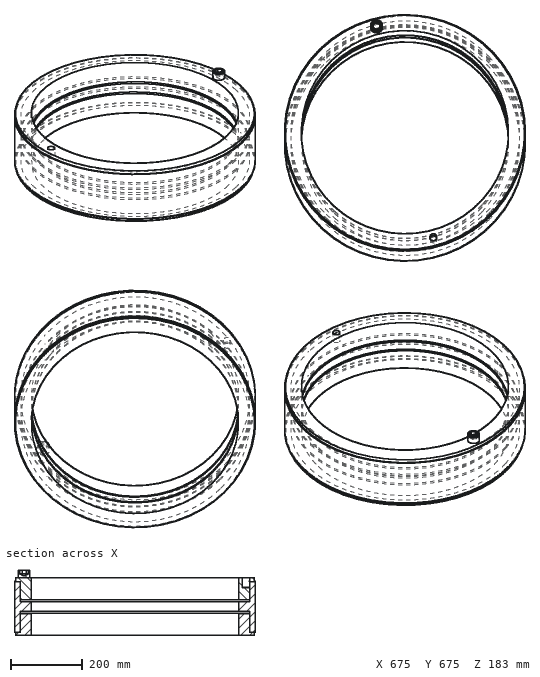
import cadquery as cq
import math

outer_diameter = 675.0
bore_diameter = 580.0
ring_height = 161.0
overall_height = 183.0

flange_diameter = 669.5
top_flange_height = 10.0
bottom_flange_height = 8.0

web_height = 27.0
web_gap = 5.5
sleeve_bore_diameter = 641.0

pitch_radius = 310.5
hole_diameter = 19.5
hole_depth = 27.0

head_diameter = 33.0
head_chamfer = 2.0
socket_corner_diameter = 22.0
socket_depth = 11.0
socket_cone_depth = 5.5

outer_radius = outer_diameter / 2
bore_radius = bore_diameter / 2
flange_radius = flange_diameter / 2
sleeve_bore_radius = sleeve_bore_diameter / 2
sleeve_bottom = bottom_flange_height
sleeve_top = ring_height - top_flange_height
web_bottom = (ring_height - web_height) / 2
web_top = web_bottom + web_height


def revolve_profile(points):
    """Revolve a closed profile of (radius, height) points about the Z axis."""
    return cq.Workplane("XZ").polyline(points).close().revolve(360, (0, 0), (0, 1))


def make_centre_ring():
    """Outer sleeve with a web in the middle of its height."""
    return revolve_profile([
        (outer_radius, sleeve_bottom),
        (outer_radius, sleeve_top),
        (sleeve_bore_radius, sleeve_top),
        (sleeve_bore_radius, web_top),
        (bore_radius, web_top),
        (bore_radius, web_bottom),
        (sleeve_bore_radius, web_bottom),
        (sleeve_bore_radius, sleeve_bottom),
    ])


def make_end_ring(flange_face, sleeve_face, web_face):
    """Ring that fills the sleeve bore, with a flange over the end of the sleeve."""
    return revolve_profile([
        (bore_radius, flange_face),
        (flange_radius, flange_face),
        (flange_radius, sleeve_face),
        (sleeve_bore_radius, sleeve_face),
        (sleeve_bore_radius, web_face),
        (bore_radius, web_face),
    ])


def make_top_ring():
    """Upper end ring with a blind hole in its top face."""
    ring = make_end_ring(ring_height, sleeve_top, web_top + web_gap)
    hole = (
        cq.Workplane("XY", origin=(0, -pitch_radius, ring_height))
        .circle(hole_diameter / 2)
        .extrude(-hole_depth)
    )
    return ring.cut(hole)


def make_screw_head():
    """Round screw head on the top face, with a hexagon socket that ends in a cone."""
    head_radius = head_diameter / 2
    head_height = overall_height - ring_height
    socket_floor = head_height - socket_depth
    head = revolve_profile([
        (0, 0),
        (head_radius, 0),
        (head_radius, head_height - head_chamfer),
        (head_radius - head_chamfer, head_height),
        (0, head_height),
    ])
    socket = (
        cq.Workplane("XY", origin=(0, 0, socket_floor))
        .transformed(rotate=(0, 0, 90))
        .polygon(6, socket_corner_diameter)
        .extrude(socket_depth)
    )
    cone_radius = socket_corner_diameter / 2 * math.cos(math.pi / 6)
    cone = revolve_profile([
        (0, socket_floor),
        (cone_radius, socket_floor),
        (0, socket_floor - socket_cone_depth),
    ])
    return head.cut(socket).cut(cone).translate((0, pitch_radius, ring_height))


centre_ring = make_centre_ring()
top_ring = make_top_ring()
bottom_ring = make_end_ring(0, sleeve_bottom, web_bottom - web_gap)
screw_head = make_screw_head()

result = cq.Compound.makeCompound([
    centre_ring.val(),
    top_ring.val(),
    bottom_ring.val(),
    screw_head.val(),
])